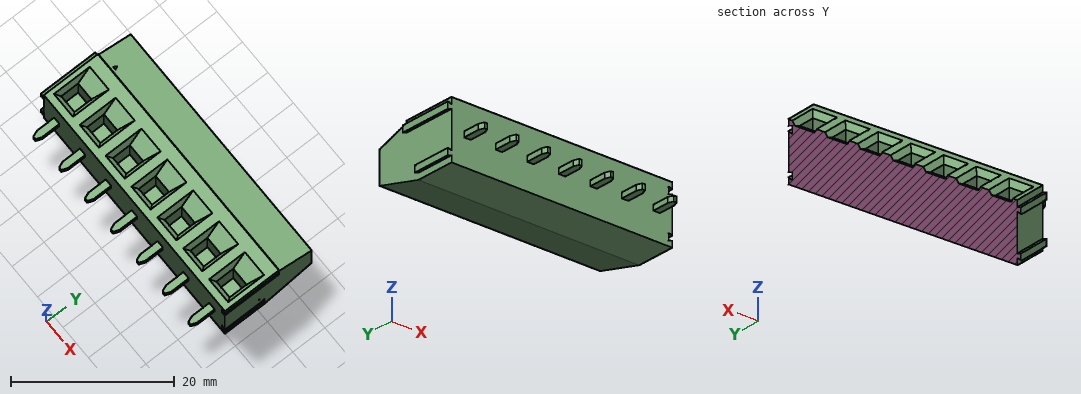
import cadquery as cq


pole_count = 7
overall_length = 36.13
overall_depth = 17.1
height = 9.0
housing_depth = 13.6
ledge_depth = 8.5
ledge_step = 0.33
rear_top_drop = 2.0
base_depth = 6.2
rear_bottom_rise = 2.02

rail_reach = 0.58
rail_offset = 3.18
rail_tip_width = 1.0
rail_root_width = 0.7

funnel_length = 3.75
funnel_front = 1.05
funnel_rear = 6.65
funnel_depth = 0.83
well_length = 2.6
well_front = 1.75
well_rear = 4.37

pin_width = 1.05
pin_tip_width = 0.45
pin_thickness = 0.83
pin_taper = 0.8

pip_reach = 0.05
pip_size = 0.1
pip_y = 5.35
pip_z = -1.15

mark_size = 0.47
mark_gap = 0.5
mark_depth = 0.07

housing_length = overall_length - rail_reach - pip_reach
pitch = housing_length / pole_count
half_length = housing_length / 2
top = height / 2
bottom = -top
pin_reach = overall_depth - housing_depth
pole_positions = [(i - (pole_count - 1) / 2) * pitch for i in range(pole_count)]


def make_housing():
    profile = [
        (0, bottom),
        (base_depth, bottom),
        (housing_depth, bottom + rear_bottom_rise),
        (housing_depth, top - rear_top_drop),
        (ledge_depth, top - ledge_step),
        (ledge_depth, top),
        (0, top),
    ]
    return (
        cq.Workplane("YZ", origin=(-half_length, 0, 0))
        .polyline(profile)
        .close()
        .extrude(housing_length)
    )


def make_rail(root_x, center_z, length):
    """Dovetail bar running back from the front face, widening towards -X."""
    tip_x = root_x - rail_reach
    section = [
        (root_x, center_z - rail_root_width / 2),
        (root_x, center_z + rail_root_width / 2),
        (tip_x, center_z + rail_tip_width / 2),
        (tip_x, center_z - rail_tip_width / 2),
    ]
    return cq.Workplane("XZ").polyline(section).close().extrude(-length)


def make_wire_entry(x):
    """Tapered funnel that opens into a straight well reaching mid-height."""
    funnel_center = (funnel_front + funnel_rear) / 2
    well_center = (well_front + well_rear) / 2
    well_width = well_rear - well_front
    funnel = (
        cq.Workplane("XY", origin=(x, funnel_center, top))
        .rect(funnel_length, funnel_rear - funnel_front)
        .workplane(offset=-funnel_depth)
        .center(0, well_center - funnel_center)
        .rect(well_length, well_width)
        .loft(ruled=True)
    )
    well = (
        cq.Workplane("XY", origin=(x, well_center, 0))
        .rect(well_length, well_width)
        .extrude(top - funnel_depth)
    )
    return funnel.union(well)


def make_pin(x):
    half_width = pin_width / 2
    half_tip = pin_tip_width / 2
    shoulder = pin_taper - pin_reach
    outline = [
        (x - half_width, 0),
        (x - half_width, shoulder),
        (x - half_tip, -pin_reach),
        (x + half_tip, -pin_reach),
        (x + half_width, shoulder),
        (x + half_width, 0),
    ]
    return (
        cq.Workplane("XY", origin=(0, 0, -pin_thickness / 2))
        .polyline(outline)
        .close()
        .extrude(pin_thickness)
    )


def make_pip():
    return (
        cq.Workplane("YZ", origin=(half_length, pip_y, pip_z))
        .rect(pip_size, pip_size)
        .extrude(pip_reach)
    )


def make_pole_mark(x):
    """Triangle sunk to a constant depth below the sloping roof."""
    base_y = ledge_depth + mark_gap
    triangle = (
        cq.Workplane("XY")
        .polyline([(x - mark_size / 2, base_y), (x + mark_size / 2, base_y), (x, base_y + mark_size)])
        .close()
        .extrude(top)
    )
    return triangle.cut(make_housing().translate((0, 0, -mark_depth)))


result = make_housing()
for rail_z, rail_length in ((rail_offset, ledge_depth), (-rail_offset, base_depth)):
    result = result.union(make_rail(-half_length, rail_z, rail_length))
    result = result.cut(make_rail(half_length, rail_z, rail_length))
for pole_x in pole_positions:
    result = result.cut(make_wire_entry(pole_x))
    result = result.union(make_pin(pole_x))
result = result.union(make_pip())
result = result.cut(make_pole_mark(pole_positions[0]))